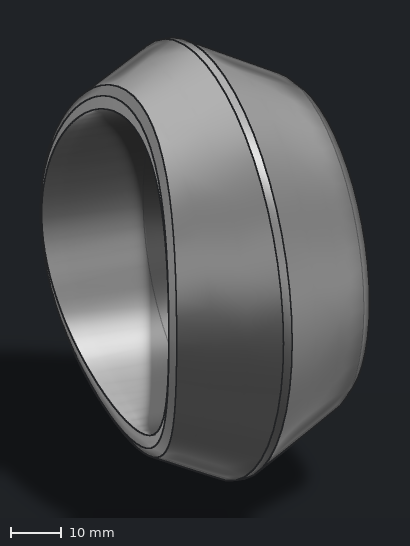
import cadquery as cq


belt_radius = 44.055
belt_width = 1.85
weld_end_radius = 32.2
weld_bevel_radius = 34.15
weld_bevel_depth = 2.1
weld_cone_depth = 19.35
saddle_cone_slope = 0.482

weld_bore_radius = 30.15
bore_radius = 32.55

run_pipe_radius = 112.0
saddle_crown_depth = 38.15
saddle_chamfer = 1.4

belt_top_depth = weld_bevel_depth + weld_cone_depth
belt_bottom_depth = belt_top_depth + belt_width
bore_taper_depth = belt_top_depth
saddle_allowance = 12.0
blank_depth = saddle_crown_depth + saddle_allowance
blank_end_radius = belt_radius - saddle_cone_slope * (blank_depth - belt_bottom_depth)
run_pipe_length = 4 * belt_radius


def revolve_profile(rim_points):
    """Solid of revolution about Y from (radius, depth) points, closed along the axis."""
    last_depth = rim_points[-1][1]
    outline = [(0, 0)]
    outline += [(radius, -depth) for radius, depth in rim_points]
    outline.append((0, -last_depth))
    return cq.Workplane("XY").polyline(outline).close().revolve(360, (0, 0, 0), (0, 1, 0))


def make_blank():
    """Solid outside shape, left long enough for the saddle cut."""
    return revolve_profile([
        (weld_end_radius, 0),
        (weld_bevel_radius, weld_bevel_depth),
        (belt_radius, belt_top_depth),
        (belt_radius, belt_bottom_depth),
        (blank_end_radius, blank_depth),
    ])


def make_run_pipe():
    """Cylinder along Z whose crest touches the saddle crown."""
    axis_y = -(saddle_crown_depth + run_pipe_radius)
    return (
        cq.Workplane("XY", origin=(0, axis_y, -run_pipe_length / 2))
        .circle(run_pipe_radius)
        .extrude(run_pipe_length)
    )


def make_bore():
    """Through bore, widening from the weld end to its straight part."""
    return revolve_profile([
        (weld_bore_radius, 0),
        (bore_radius, bore_taper_depth),
        (bore_radius, blank_depth),
    ])


saddled = make_blank().cut(make_run_pipe())
chamfered = saddled.edges("<Y").chamfer(saddle_chamfer)
result = chamfered.cut(make_bore())